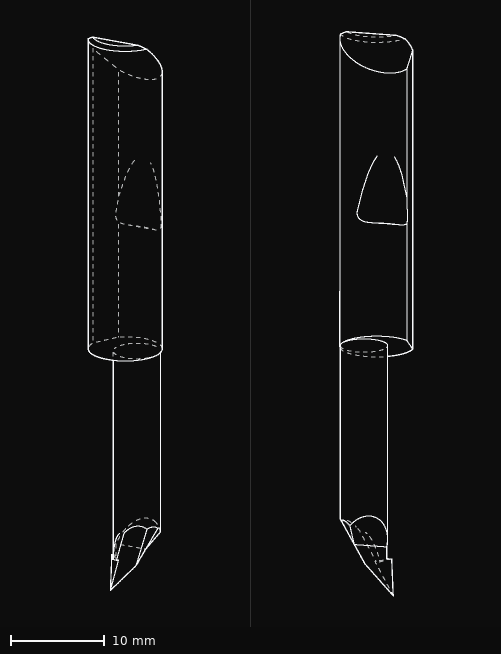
import cadquery as cq
import math


TOTAL_LENGTH = 63.15
SHANK_RADIUS = 7.94 / 2
SHANK_BOTTOM = 27.65
NECK_RADIUS = 2.54
NECK_X = SHANK_RADIUS - NECK_RADIUS

TOP_CHAMFER = 0.45
TOP_SLANT_START_Y = -2.17
FLAT_END_ANGLES = (129.0, 180.0)
NOTCH_TOP_DROP = 14.8
NOTCH_FLOOR_DROP = 21.3
NOTCH_BOTTOM_DROP = 22.9
NOTCH_FLOOR_Y = 2.75
NOTCH_CORNER_RADIUS = 1.3

TIP_X = -1.82
TIP_HEIGHT = 4.1
RAKE_TOP = 5.4

RELIEF_X_SLOPE = 1.06
RELIEF_Y_SLOPE = -1.78
RELIEF_HEIGHT = -RELIEF_X_SLOPE * TIP_X
BACK_X_SLOPE = 1.76
BACK_Y_SLOPE = -0.77
BACK_HEIGHT = 1.0
FRONT_X_SLOPE = -0.5
FRONT_Y_SLOPE = -3.9
FRONT_HEIGHT = -1.5

FLANK_Z_SLOPE = 0.04
FLANK_Y_SLOPE = -1.19

CUT_SIZE = 150.0


def half_space(origin, normal):
    """Large block filling the side of a plane that the normal points to."""
    plane = cq.Plane(origin=origin, normal=normal)
    return cq.Workplane(plane).rect(CUT_SIZE, CUT_SIZE).extrude(CUT_SIZE)


def below_plane(height, x_slope, y_slope):
    """Block below the plane z = height + x_slope * x + y_slope * y."""
    return half_space((0, 0, height), (x_slope, y_slope, -1))


def along_x(profile):
    """Closed (y, z) profile extruded through the part along X."""
    return profile.close().extrude(CUT_SIZE / 2, both=True)


def make_shank():
    length = TOTAL_LENGTH - SHANK_BOTTOM
    shank = cq.Workplane("XY").workplane(offset=SHANK_BOTTOM).circle(SHANK_RADIUS).extrude(length)
    return shank.faces(">Z").chamfer(TOP_CHAMFER)


def top_slant():
    """45 degree slope falling from the top face toward +Y."""
    return half_space((0, TOP_SLANT_START_Y, TOTAL_LENGTH), (0, 1, 1))


def side_flat():
    """Full-length flat on the -X, +Y side of the shank."""
    start, end = FLAT_END_ANGLES
    middle = math.radians((start + end) / 2)
    distance = SHANK_RADIUS * math.cos(math.radians((end - start) / 2))
    direction = (math.cos(middle), math.sin(middle), 0)
    origin = (distance * direction[0], distance * direction[1], TOTAL_LENGTH)
    return half_space(origin, direction)


def clamping_notch():
    """Notch on the +Y side: a shallow ramp going down to a rounded corner."""
    top = TOTAL_LENGTH - NOTCH_TOP_DROP
    floor = TOTAL_LENGTH - NOTCH_FLOOR_DROP
    bottom = TOTAL_LENGTH - NOTCH_BOTTOM_DROP
    profile = (
        cq.Workplane("YZ")
        .moveTo(SHANK_RADIUS, top)
        .lineTo(NOTCH_FLOOR_Y, floor)
        .radiusArc((SHANK_RADIUS, bottom), -NOTCH_CORNER_RADIUS)
    )
    return along_x(profile)


def make_neck():
    neck = cq.Workplane("XY").center(NECK_X, 0).circle(NECK_RADIUS).extrude(SHANK_BOTTOM)
    tip_width = NECK_X - TIP_X
    tip = cq.Workplane("XY").box(tip_width, NECK_RADIUS, TIP_HEIGHT, centered=False)
    tip = tip.translate((TIP_X, -NECK_RADIUS, 0))
    return neck.union(tip)


def tip_flank():
    """Side relief behind the cutting edge, up to the top of the tip."""
    side = half_space((TIP_X, 0, 0), (-1, FLANK_Y_SLOPE, FLANK_Z_SLOPE))
    tip_zone = cq.Workplane("XY").rect(CUT_SIZE, CUT_SIZE).extrude(TIP_HEIGHT)
    return side.intersect(tip_zone)


def rake_cut():
    """Opens the rake plane Y = 0 and runs out at 45 degrees toward +Y."""
    reach = 2 * NECK_RADIUS
    profile = (
        cq.Workplane("YZ")
        .moveTo(0, 0)
        .lineTo(0, RAKE_TOP)
        .lineTo(reach, RAKE_TOP + reach)
        .lineTo(reach, 0)
    )
    return along_x(profile)


def back_relief():
    """+X side relief: tilted on the -Y half of the neck, parallel to Y on the +Y half."""
    plus_y_half = half_space((0, 0, 0), (0, 1, 0))
    tilted = below_plane(BACK_HEIGHT, BACK_X_SLOPE, BACK_Y_SLOPE).cut(plus_y_half)
    straight = below_plane(BACK_HEIGHT, BACK_X_SLOPE, 0).intersect(plus_y_half)
    return tilted.union(straight)


shank = make_shank().cut(top_slant()).cut(side_flat()).cut(clamping_notch())

neck = make_neck().cut(tip_flank()).cut(rake_cut())
neck = neck.cut(below_plane(RELIEF_HEIGHT, RELIEF_X_SLOPE, RELIEF_Y_SLOPE))
neck = neck.cut(back_relief())
neck = neck.cut(below_plane(FRONT_HEIGHT, FRONT_X_SLOPE, FRONT_Y_SLOPE))

result = shank.union(neck)